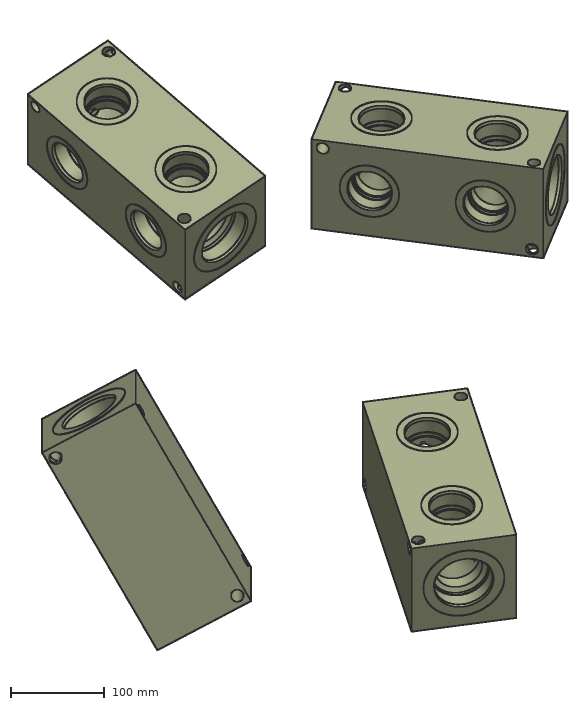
import cadquery as cq
import math

length = 254.0
width = 114.3
half_width = width / 2

spotface_depth = 0.64
drill_tip_half_angle = math.radians(59)

side_port_inset = 63.5
side_spotface_diameter = 65.0
side_mouth_diameter = 49.3
side_taper_end_diameter = 48.0
side_taper_depth = 4.0
side_thread_diameter = 47.8
side_thread_depth = 19.5
side_relief_diameter = 45.5
side_relief_depth = 23.5
side_drill_diameter = 43.0
side_drill_depth = 36.5

end_spotface_diameter = 88.1
end_mouth_diameter = 65.0
end_taper_end_diameter = 64.0
end_taper_depth = 4.0
end_thread_diameter = 63.5
end_thread_depth = 19.5
end_relief_diameter = 61.5
end_relief_depth = 22.9
end_drill_diameter = 50.8
end_drill_depth = 41.0

mounting_hole_diameter = 13.5
mounting_hole_end_inset = 12.5
mounting_hole_edge_inset = 10.0


def port_cutter(spotface, mouth, taper_end, taper_depth, thread, thread_depth,
                relief, relief_depth, drill, drill_depth):
    """Port void revolved about Z, mouth at Z = 0, running down into -Z."""
    tip_slope = 1 / math.tan(drill_tip_half_angle)
    relief_cone_depth = relief_depth + (relief - drill) / 2 * tip_slope
    tip_depth = drill_depth + drill / 2 * tip_slope
    profile = [
        (0, 0),
        (spotface / 2, 0),
        (spotface / 2, -spotface_depth),
        (mouth / 2, -spotface_depth),
        (taper_end / 2, -taper_depth),
        (thread / 2, -taper_depth),
        (thread / 2, -thread_depth),
        (relief / 2, -thread_depth),
        (relief / 2, -relief_depth),
        (drill / 2, -relief_cone_depth),
        (drill / 2, -drill_depth),
        (0, -tip_depth),
    ]
    return cq.Workplane("XZ").polyline(profile).close().revolve(360, (0, 0), (0, 1))


side_port = port_cutter(
    side_spotface_diameter, side_mouth_diameter, side_taper_end_diameter, side_taper_depth,
    side_thread_diameter, side_thread_depth, side_relief_diameter, side_relief_depth,
    side_drill_diameter, side_drill_depth,
)
end_port = port_cutter(
    end_spotface_diameter, end_mouth_diameter, end_taper_end_diameter, end_taper_depth,
    end_thread_diameter, end_thread_depth, end_relief_diameter, end_relief_depth,
    end_drill_diameter, end_drill_depth,
)

hole_offset = half_width - mounting_hole_edge_inset
mounting_hole_centres = [
    (mounting_hole_end_inset, hole_offset),
    (length - mounting_hole_end_inset, -hole_offset),
]

result = cq.Workplane("XY").box(length, width, width, centered=(False, True, True))

origin = (0, 0, 0)
for station in (side_port_inset, length - side_port_inset):
    top_port = side_port.translate((station, 0, half_width))
    front_port = side_port.rotate(origin, (1, 0, 0), 90).translate((station, -half_width, 0))
    result = result.cut(top_port).cut(front_port)

left_port = end_port.rotate(origin, (0, 1, 0), -90)
right_port = end_port.rotate(origin, (0, 1, 0), 90).translate((length, 0, 0))
result = result.cut(left_port).cut(right_port)

for plane in ("XY", "XZ"):
    holes = (
        cq.Workplane(plane)
        .pushPoints(mounting_hole_centres)
        .circle(mounting_hole_diameter / 2)
        .extrude(half_width, both=True)
    )
    result = result.cut(holes)